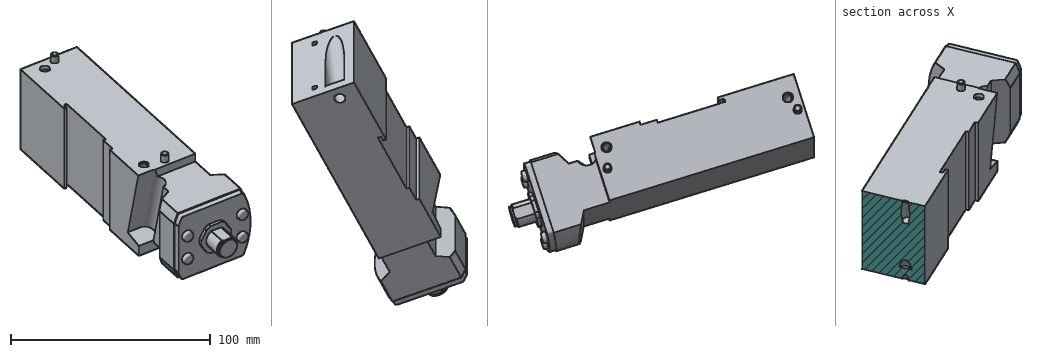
import cadquery as cq
import math

total_length = 155.2
block_length = 107.5
block_depth = 34.0
block_height = 50.0
mid_height = block_height / 2

groove_left = 39.9
groove_step = 72.5
groove_right = 81.0
groove_depth = 3.3
step_depth = 1.7
undercut = 3.0
lip_thickness = 1.5
undercut_chamfer = 0.6

neck_front = 8.8
neck_end = 121
head_end = 138.9
head_height = 40.2
head_front = 0.3
head_back = 45
head_front_start = 125.9
head_back_start = 127.1
dome_radius = 45.8
front_flat_height = 28.9

plate_inset = 0.6
plate_thickness = 3.3
plate_corner_radius = 1.5
plate_end = head_end + plate_thickness

connector_y = 22.3
nut_across_flats = 16.9
nut_diameter = 18.0
nut_thickness = 1.9
thread_diameter = 12.0
thread_flats = 10.4
thread_end = 153.5
thread_chamfer = 0.6
tip_diameter = 10.4

screw_diameter = 5.9
screw_head = 2.3
screw_round = 1.0
screw_pitch_y = 32.9
screw_pitch_z = 14.1

pocket_diameter = 10.4
bolt_diameter = 5.5
pocket_reach = 93.1
left_pocket_x = 6.4
left_pocket_y = 10.5
left_tilt = 15.2
left_floor = 6.7
right_pocket_x = 100.9
right_pocket_y = 7.5
right_tilt = -13
right_floor = 7.6
thread_hole_diameter = 4.2
thread_mouth_diameter = 5.0
thread_mouth_depth = 1.5
thread_hole_depth = 14

pin_base_diameter = 4.2
pin_neck_diameter = 3.7
pin_tip_diameter = 2.8
pin_height = 4.5
pin_chamfer = 0.5
pin_y = 18.2
left_pin_x = 3.7
right_pin_x = 103.7
end_hole_diameter = 2.8
end_hole_depth = 4.7
end_hole_tip = 0.8
end_hole_y = 21.5
end_hole_pitch = 36.0


def make_block():
    """Main block with the stepped, undercut rail groove along Z."""
    undercut_end = groove_left - undercut
    return (
        cq.Workplane("XY")
        .moveTo(0, 0)
        .lineTo(groove_left, 0)
        .lineTo(groove_left, lip_thickness)
        .lineTo(undercut_end + undercut_chamfer, lip_thickness)
        .lineTo(undercut_end, lip_thickness + undercut_chamfer)
        .lineTo(undercut_end, groove_depth)
        .lineTo(groove_step, groove_depth)
        .lineTo(groove_step, step_depth)
        .lineTo(groove_right, step_depth)
        .lineTo(groove_right, 0)
        .lineTo(block_length, 0)
        .lineTo(block_length, block_depth)
        .lineTo(0, block_depth)
        .close()
        .extrude(block_height)
    )


def head_section(start, length, inset):
    """Prism along X: domed back, flat-topped domed front, flat top and bottom."""
    half = head_height / 2 - inset
    back = head_back - inset
    front = head_front + inset
    radius = dome_radius - inset
    back_center = back - radius
    flat_half = front_flat_height / 2
    front_center = front + math.sqrt(radius**2 - flat_half**2)

    def back_y(z):
        return back_center + math.sqrt(radius**2 - z**2)

    def front_y(z):
        return front_center - math.sqrt(radius**2 - z**2)

    arc_mid = (half + flat_half) / 2
    return (
        cq.Workplane("YZ", origin=(start, 0, mid_height))
        .moveTo(back_y(half), -half)
        .threePointArc((back, 0), (back_y(half), half))
        .lineTo(front_y(half), half)
        .threePointArc((front_y(arc_mid), arc_mid), (front, flat_half))
        .lineTo(front, -flat_half)
        .threePointArc((front_y(arc_mid), -arc_mid), (front_y(half), -half))
        .close()
        .extrude(length)
    )


def make_head():
    """Neck flaring into the domed head."""
    flare = (
        cq.Workplane("XY")
        .moveTo(block_length, neck_front)
        .lineTo(neck_end, neck_front)
        .lineTo(head_front_start, head_front)
        .lineTo(head_end, head_front)
        .lineTo(head_end, head_back)
        .lineTo(head_back_start, head_back)
        .lineTo(neck_end, block_depth)
        .lineTo(block_length, block_depth)
        .close()
        .extrude(block_height)
    )
    return flare.intersect(head_section(block_length, head_end - block_length, 0))


def make_plate():
    """Cover plate with rounded corners, set in from the head's outline."""
    plate = head_section(head_end, plate_thickness, plate_inset)
    return plate.edges("|X").edges(">Z or <Z").fillet(plate_corner_radius)


def on_plate():
    """Workplane on the cover plate, centred on the connector axis."""
    return cq.Workplane("YZ", origin=(plate_end, connector_y, mid_height))


def make_connector():
    """Nut with rounded corners, flatted thread and plain tip."""
    across_corners = nut_across_flats / math.cos(math.pi / 6)
    hexagon = on_plate().polygon(6, across_corners).extrude(nut_thickness)
    nut = on_plate().circle(nut_diameter / 2).extrude(nut_thickness).intersect(hexagon)
    thread = (
        on_plate()
        .circle(thread_diameter / 2)
        .extrude(thread_end + thread_chamfer - plate_end)
        .faces(">X")
        .chamfer(thread_chamfer)
    )
    flats = on_plate().rect(thread_diameter, thread_flats).extrude(total_length - plate_end)
    tip = on_plate().circle(tip_diameter / 2).extrude(total_length - plate_end)
    return nut.union(thread.intersect(flats)).union(tip)


def make_screws():
    """Four round-edged screw heads on the cover plate."""
    return (
        on_plate()
        .rect(screw_pitch_y, screw_pitch_z, forConstruction=True)
        .vertices()
        .circle(screw_diameter / 2)
        .extrude(screw_head)
        .faces(">X")
        .edges()
        .fillet(screw_round)
    )


def make_pin(x):
    """Slightly tapered locating pin with a chamfered tip, standing on the top face."""
    return (
        cq.Workplane("XZ", origin=(x, pin_y, block_height))
        .lineTo(pin_base_diameter / 2, 0)
        .lineTo(pin_neck_diameter / 2, pin_height - pin_chamfer)
        .lineTo(pin_tip_diameter / 2, pin_height)
        .lineTo(0, pin_height)
        .close()
        .revolve(360, (0, 0), (0, 1))
    )


def tilted_plane(x, y, z, tilt):
    """Workplane whose normal leans from +Z towards -X by the tilt angle."""
    angle = math.radians(tilt)
    return cq.Workplane(
        cq.Plane(
            origin=(x, y, z),
            xDir=(math.cos(angle), 0, math.sin(angle)),
            normal=(-math.sin(angle), 0, math.cos(angle)),
        )
    )


def mounting_cut(x, y, tilt, floor_height, opening):
    """Slanted U-shaped pocket open along the given (x, y) run, and the threaded top hole above it."""
    floor = tilted_plane(x, y, 0, tilt).workplane(offset=floor_height)
    pocket = floor.circle(pocket_diameter / 2).extrude(pocket_reach)
    run_x, run_y = opening
    slot = (
        floor.center(run_x / 2, run_y / 2)
        .rect(abs(run_x) or pocket_diameter, abs(run_y) or pocket_diameter)
        .extrude(pocket_reach)
    )
    top = tilted_plane(x, y, block_height, tilt)
    thread = top.circle(thread_hole_diameter / 2).extrude(thread_hole_depth, both=True)
    mouth = top.circle(thread_mouth_diameter / 2).extrude(thread_mouth_depth, both=True)
    return pocket.union(slot).union(thread).union(mouth)


def make_end_hole(z):
    """Blind drilled hole with a conical bottom, running in from the end face."""
    return (
        cq.Workplane("XZ", origin=(0, end_hole_y, z))
        .lineTo(end_hole_depth + end_hole_tip, 0)
        .lineTo(end_hole_depth, end_hole_diameter / 2)
        .lineTo(0, end_hole_diameter / 2)
        .close()
        .revolve(360, (0, 0), (1, 0))
    )


lower_end_hole = make_end_hole(mid_height - end_hole_pitch / 2)
upper_end_hole = make_end_hole(mid_height + end_hole_pitch / 2)

left_bolt_hole = (
    tilted_plane(left_pocket_x, left_pocket_y, 0, left_tilt)
    .circle(bolt_diameter / 2)
    .extrude(2 * left_floor, both=True)
)

left_mounting = mounting_cut(left_pocket_x, left_pocket_y, left_tilt, left_floor, (-block_depth, 0))
right_mounting = mounting_cut(right_pocket_x, right_pocket_y, right_tilt, right_floor, (0, -block_depth))

result = (
    make_block()
    .union(make_head())
    .cut(left_mounting)
    .cut(left_bolt_hole)
    .cut(right_mounting)
    .cut(lower_end_hole)
    .cut(upper_end_hole)
    .union(make_plate())
    .union(make_connector())
    .union(make_screws())
    .union(make_pin(left_pin_x))
    .union(make_pin(right_pin_x))
)